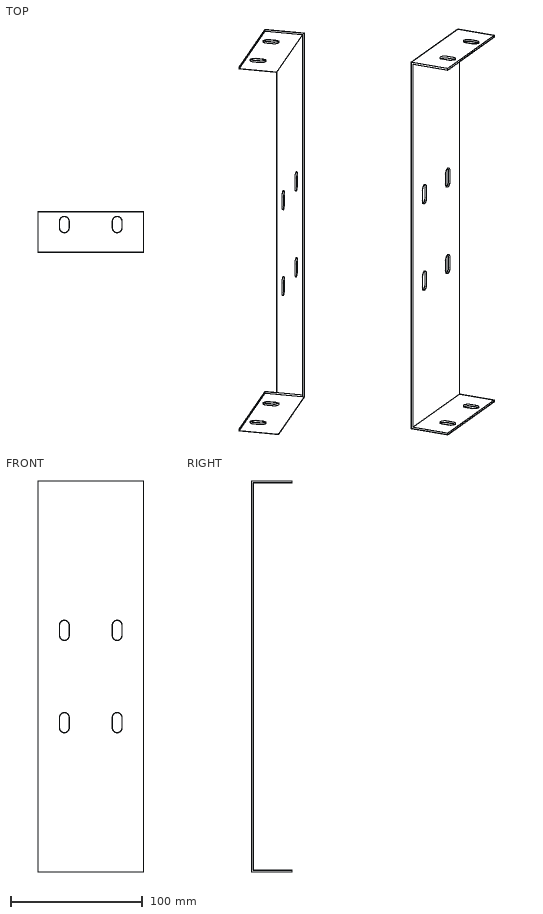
import cadquery as cq

width = 80.0
depth = 31.0
height = 296.7
thickness = 1.5

slot_width = 7.0
slot_pitch_x = width / 2

web_slot_length = 15.0
web_slot_pitch_z = 70.0

flange_slot_length = 12.2
flange_slot_edge_distance = 9.8


def make_bracket():
    """Thin web at the front with a flange running back at each end."""
    block = cq.Workplane("XY").box(width, depth, height)
    channel = cq.Workplane("XY").box(width, depth, height - 2 * thickness)
    return block.cut(channel.translate((0, thickness, 0)))


def web_slots():
    """Four upright slots through the web."""
    return (
        cq.Workplane("XZ", origin=(0, -depth / 2 + thickness, 0))
        .rarray(slot_pitch_x, web_slot_pitch_z, 2, 2)
        .slot2D(web_slot_length, slot_width, 90)
        .extrude(thickness)
    )


def flange_slots():
    """Two slots running front to back, cut in line through both flanges."""
    slot_y = depth / 2 - flange_slot_edge_distance
    return (
        cq.Workplane("XY", origin=(0, slot_y, 0))
        .rarray(slot_pitch_x, 3, 2, 1)
        .slot2D(flange_slot_length, slot_width, 90)
        .extrude(height / 2, both=True)
    )


result = make_bracket().cut(web_slots()).cut(flange_slots())